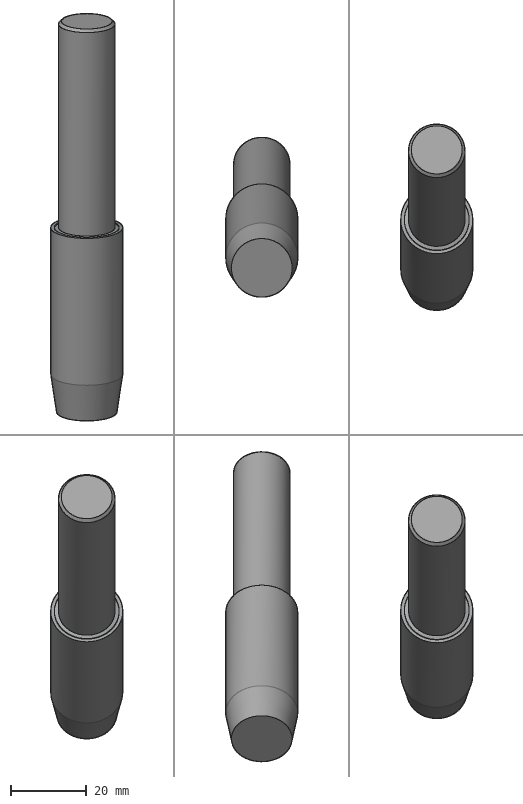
import cadquery as cq

total_height = 108.0
sleeve_diameter = 19.0

sleeve_height = 51.0
taper_height = 10.4
tip_diameter = 16.0

pin_diameter = 14.9
pin_chamfer = 0.8

collar_diameter = 17.1
collar_slope_drop = 0.27

sleeve_radius = sleeve_diameter / 2
tip_radius = tip_diameter / 2
pin_radius = pin_diameter / 2
collar_radius = collar_diameter / 2
collar_bottom = taper_height


def revolve_about_z(profile_points):
    """Revolve a closed (radius, height) profile into a solid about Z."""
    profile = cq.Workplane("XZ").polyline(profile_points).close()
    return profile.revolve(360, (0, 0, 0), (0, 1, 0))


def make_sleeve():
    """Round sleeve with a tapered, closed tip and a blind bore open at the top."""
    return revolve_about_z([
        (0, 0),
        (tip_radius, 0),
        (sleeve_radius, taper_height),
        (sleeve_radius, sleeve_height),
        (collar_radius, sleeve_height),
        (collar_radius, collar_bottom),
        (0, collar_bottom),
    ])


def make_pin():
    """Pin with a chamfered top and a wider collar seated in the sleeve bore."""
    return revolve_about_z([
        (0, collar_bottom),
        (collar_radius, collar_bottom),
        (collar_radius, sleeve_height - collar_slope_drop),
        (pin_radius, sleeve_height),
        (pin_radius, total_height - pin_chamfer),
        (pin_radius - pin_chamfer, total_height),
        (0, total_height),
    ])


sleeve = make_sleeve()
pin = make_pin()
result = cq.Compound.makeCompound([sleeve.val(), pin.val()])